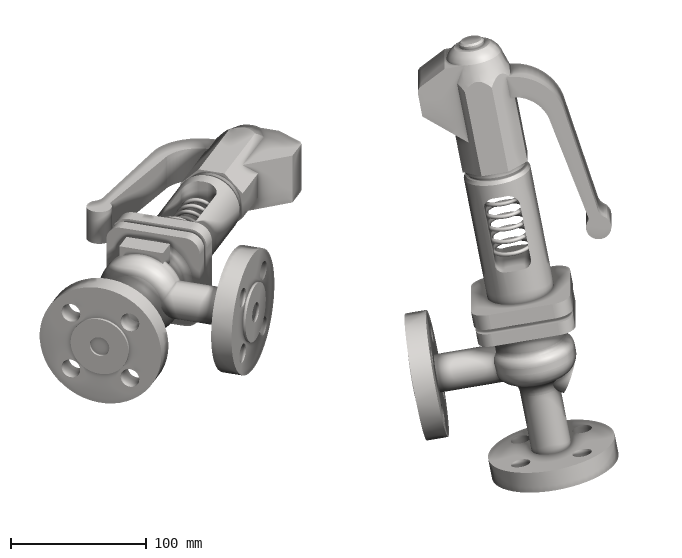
import cadquery as cq
import math

total_length = 347.0

flange_radius = 47.5
flange_thickness = 16.0
raised_face_radius = 22.5
raised_face_height = 2.0
bore_radius = 7.5
bore_depth = raised_face_height
bolt_hole_radius = 7.3
bolt_circle_radius = 32.5
bolt_count = 4
face_distance = 90.2
inlet_pipe_radius = 15.0
outlet_pipe_radius = 14.2

neck_fillet_start_y = 65.5
bulb_bottom_y = 76.0
bulb_bottom_radius = 21.5
bulb_radius = 31.5
bulb_arc_radius = 14.2
bulb_low_y = 89.5
bulb_high_y = 94.7
shoulder_y = 101.0
shoulder_radius = 28.5
neck_low_y = 105.0
neck_high_y = 113.8
neck_radius = 26.5
flare_radius = 31.0

lower_plate_y = 118.7
lower_plate_top_y = 128.7
lower_plate_half = 36.5
lower_plate_corner = 11.5
upper_plate_y = 132.5
upper_plate_top_y = 144.0
upper_plate_half = 37.0
upper_plate_corner = 13.2
spigot_step_radius = 30.5
spigot_step_height = 1.0
spigot_radius = 28.0

housing_radius = 25.0
housing_shoulder_y = 240.0
housing_top_y = 243.0
housing_top_radius = 23.5
window_half_width = 13.5
window_bottom_y = 170.0
window_top_y = 229.7
window_bottom_fillet = 5.5
window_top_fillet = 9.7
coil_count = 5
coil_pitch = 10.0
first_coil_y = 179.7
coil_radius = 14.2
wire_radius = 1.55

groove_radius = 21.5
collar_y = 245.0
collar_radius = 23.0

cap_y = 248.5
cap_apothem = 24.3
cap_sides = 8
cone_low_y = 316.5
dome_low_y = 335.5
dome_low_radius = 20.5
dome_mid_y = 340.0
dome_mid_radius = 17.7
dome_top_y = 343.2
dome_top_radius = 13.5
knob_radius = 9.5
knob_chamfer = 1.5

lever_half_width = 13.2
ball_center = (-66.5, 188.5)
ball_radius = 9.5
lever_root_x = -22.2
lever_root_top_y = 318.2
lever_root_low_y = 302.0
outer_bend_mid = (-47.5, 306.7)
outer_bend_end = (-58.5, 282.5)
outer_tip = (-68.7, 201.5)
outer_tip_mid = (-70.5, 197.8)
outer_tip_end = (-74.0, 194.5)
inner_tip_end = (-59.0, 193.3)
inner_tip_mid = (-60.5, 195.7)
inner_tip = (-60.5, 199.0)
inner_bend_end = (-46.0, 281.0)
inner_bend_mid = (-38.5, 294.3)
lever_housing_half_width = 19.5
lever_housing_x = 44.8
lever_housing_top_x = 22.0
lever_housing_round_start = (41.5, 324.8)
lever_housing_round_end_y = 320.0
lever_housing_side_low_y = 301.2
lever_housing_foot = (15.3, 274.8)

drain_radius = 13.2
drain_center = (-23.0, 70.8)
drain_angle = 30.0
block_half_width = 17.0
block_low_y = 92.3
block_high_y = 108.3
block_top_z = 35.5


def disc(radius, start_y, end_y):
    """Cylinder on the valve axis."""
    return cq.Workplane("XZ", origin=(0, start_y, 0)).circle(radius).extrude(start_y - end_y)


def prism(outline, half_width):
    """Outline in the XY plane, thickened evenly to both sides of it."""
    return outline.extrude(half_width, both=True)


def pipe_flange(pipe_radius):
    """Flange and pipe on the valve axis, with the raised face at Y = 0."""
    back_y = raised_face_height + flange_thickness
    flange = disc(raised_face_radius, 0, back_y)
    flange = flange.union(disc(flange_radius, raised_face_height, back_y))
    holes = (
        cq.Workplane("XZ")
        .polarArray(bolt_circle_radius, 180 / bolt_count, 360, bolt_count)
        .circle(bolt_hole_radius)
        .extrude(-back_y)
    )
    pipe = disc(pipe_radius, raised_face_height, face_distance)
    return flange.cut(holes).union(pipe).cut(disc(bore_radius, 0, bore_depth))


def body():
    """Turned valve body from the inlet pipe up to the lower bonnet flange."""
    return (
        cq.Workplane("XY")
        .moveTo(0, raised_face_height + flange_thickness)
        .lineTo(inlet_pipe_radius, raised_face_height + flange_thickness)
        .lineTo(inlet_pipe_radius, neck_fillet_start_y)
        .tangentArcPoint((bulb_bottom_radius, bulb_bottom_y), relative=False)
        .radiusArc((bulb_radius, bulb_low_y), -bulb_arc_radius)
        .lineTo(bulb_radius, bulb_high_y)
        .tangentArcPoint((shoulder_radius, shoulder_y), relative=False)
        .tangentArcPoint((neck_radius, neck_low_y), relative=False)
        .lineTo(neck_radius, neck_high_y)
        .tangentArcPoint((flare_radius, lower_plate_y), relative=False)
        .lineTo(0, lower_plate_y)
        .close()
        .revolve(360, (0, 0), (0, 1))
    )


def bonnet_plate(half_side, corner_radius, start_y, end_y):
    """Square plate across the valve axis, with its corners rounded."""
    square = cq.Workplane("XY").box(2 * half_side, end_y - start_y, 2 * half_side)
    return square.edges("|Y").fillet(corner_radius).translate((0, (start_y + end_y) / 2, 0))


def bonnet():
    """The two bonnet flanges and the stepped spigot in the gap between them."""
    step_top_y = lower_plate_top_y + spigot_step_height
    return (
        bonnet_plate(lower_plate_half, lower_plate_corner, lower_plate_y, lower_plate_top_y)
        .union(bonnet_plate(upper_plate_half, upper_plate_corner, upper_plate_y, upper_plate_top_y))
        .union(disc(spigot_step_radius, lower_plate_top_y, step_top_y))
        .union(disc(spigot_radius, step_top_y, upper_plate_y))
    )


def spring_housing():
    """Housing with a window through it along Z, crossed by the spring coils."""
    housing = (
        cq.Workplane("XY")
        .moveTo(0, upper_plate_top_y)
        .lineTo(housing_radius, upper_plate_top_y)
        .lineTo(housing_radius, housing_shoulder_y)
        .lineTo(housing_top_radius, housing_top_y)
        .lineTo(groove_radius, housing_top_y)
        .lineTo(groove_radius, collar_y)
        .lineTo(collar_radius, collar_y)
        .lineTo(collar_radius, cap_y)
        .lineTo(0, cap_y)
        .close()
        .revolve(360, (0, 0), (0, 1))
    )
    window = (
        cq.Workplane("XY")
        .box(2 * window_half_width, window_top_y - window_bottom_y, 2 * housing_radius)
        .translate((0, (window_top_y + window_bottom_y) / 2, 0))
        .edges("|Z and >Y")
        .fillet(window_top_fillet)
        .edges("|Z and <Y")
        .fillet(window_bottom_fillet)
    )
    housing = housing.cut(window)
    for index in range(coil_count):
        coil_y = first_coil_y + index * coil_pitch
        coil = (
            cq.Workplane("XY")
            .center(coil_radius, coil_y)
            .circle(wire_radius)
            .revolve(360, (-coil_radius, 0), (-coil_radius, 1))
        )
        housing = housing.union(coil)
    return housing


def cap():
    """Octagonal bar, coned and domed at the top, with a knob at the end."""
    corner_radius = cap_apothem / math.cos(math.pi / cap_sides)
    octagon = (
        cq.Workplane("XZ", origin=(0, cap_y, 0))
        .transformed(rotate=(0, 0, 180 / cap_sides))
        .polygon(cap_sides, 2 * corner_radius)
        .extrude(cap_y - total_length)
    )
    turned = (
        cq.Workplane("XY")
        .moveTo(0, cap_y)
        .lineTo(corner_radius, cap_y)
        .lineTo(corner_radius, cone_low_y)
        .lineTo(dome_low_radius, dome_low_y)
        .threePointArc((dome_mid_radius, dome_mid_y), (dome_top_radius, dome_top_y))
        .lineTo(knob_radius, dome_top_y)
        .lineTo(knob_radius, total_length - knob_chamfer)
        .lineTo(knob_radius - knob_chamfer, total_length)
        .lineTo(0, total_length)
        .close()
        .revolve(360, (0, 0), (0, 1))
    )
    return octagon.intersect(turned)


def lever():
    """Bent lever with a round end, hanging beside the housing."""
    arm = (
        cq.Workplane("XY")
        .moveTo(0, lever_root_top_y)
        .lineTo(lever_root_x, lever_root_top_y)
        .threePointArc(outer_bend_mid, outer_bend_end)
        .lineTo(*outer_tip)
        .threePointArc(outer_tip_mid, outer_tip_end)
        .lineTo(*ball_center)
        .lineTo(*inner_tip_end)
        .threePointArc(inner_tip_mid, inner_tip)
        .lineTo(*inner_bend_end)
        .threePointArc(inner_bend_mid, (lever_root_x, lever_root_low_y))
        .lineTo(0, lever_root_low_y)
        .close()
    )
    ball = cq.Workplane("XY").center(*ball_center).circle(ball_radius)
    return prism(arm, lever_half_width).union(prism(ball, lever_half_width))


def lever_housing():
    """Cam housing standing out of the side of the cap opposite the lever."""
    outline = (
        cq.Workplane("XY")
        .moveTo(0, dome_low_y)
        .lineTo(lever_housing_top_x, dome_low_y)
        .lineTo(*lever_housing_round_start)
        .tangentArcPoint((lever_housing_x, lever_housing_round_end_y), relative=False)
        .lineTo(lever_housing_x, lever_housing_side_low_y)
        .lineTo(*lever_housing_foot)
        .lineTo(0, lever_housing_foot[1])
        .close()
    )
    return prism(outline, lever_housing_half_width)


def drain_boss():
    """Blind boss pointing away from the outlet, reaching in to the valve axis."""
    angle = math.radians(drain_angle)
    inward = cq.Vector(math.cos(angle), math.sin(angle), 0)
    center = cq.Vector(*drain_center, 0)
    depth = -drain_center[0] / inward.x
    return cq.Workplane(obj=cq.Solid.makeCylinder(drain_radius, depth, center, inward))


def name_block():
    """Flat-topped block for the maker's name, rising from the valve axis through the body."""
    return (
        cq.Workplane("XY")
        .center(0, (block_low_y + block_high_y) / 2)
        .rect(2 * block_half_width, block_high_y - block_low_y)
        .extrude(block_top_z)
    )


inlet = pipe_flange(inlet_pipe_radius)
outlet = (
    pipe_flange(outlet_pipe_radius)
    .rotate((0, 0, 0), (0, 0, 1), 90)
    .translate((face_distance, face_distance, 0))
)

result = (
    body()
    .union(drain_boss())
    .union(inlet)
    .union(outlet)
    .union(bonnet())
    .union(spring_housing())
    .union(cap())
    .union(lever())
    .union(lever_housing())
    .union(name_block())
)